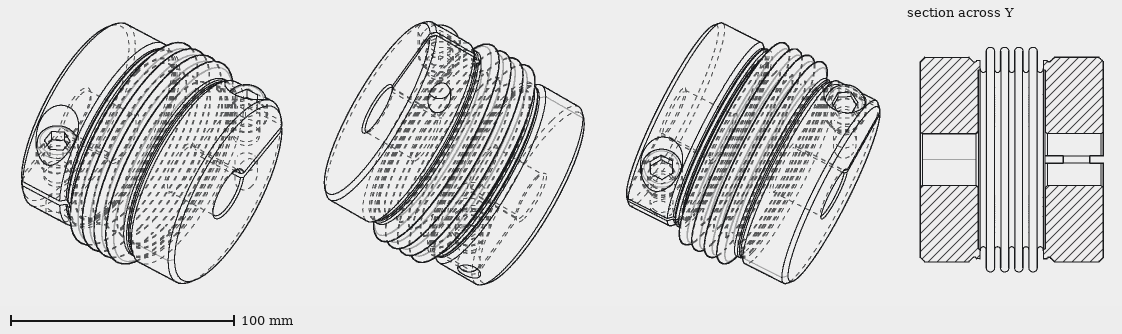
import cadquery as cq
import math


length = 82.1
bellows_diameter = 101.0

hub_diameter = 91.9
neck_diameter = 87.8
hub_chamfer = (hub_diameter - neck_diameter) / 2
hub_chamfer_end = 23.9
hub_length = 26.2
bore_diameter = 23.0
bore_chamfer = 1.0

collar_diameter = 89.0
collar_bore_diameter = 80.2
collar_chamfer = (collar_diameter - neck_diameter) / 2
collar_chamfer_start = 24.7

ring_count = 4
pitch = 6.4
crest_radius = 2.0
valley_radius = pitch / 2 - crest_radius
valley_diameter = 78.4
sheet = 0.3
rim_diameter = 81.4

slot_height = 3.2
screw_inset = 12.0
screw_offset = 32.8
shank_diameter = 12.0
clearance_diameter = 12.5
thread_diameter = 10.2
shank_length = 35.0
head_diameter = 18.0
head_height = 12.0
head_fillet = 1.2
head_top = 24.9
counterbore_diameter = 19.0
seat_z = head_top - head_height
hex_flats = 10.0
hex_depth = 6.0
hex_corners = hex_flats / math.cos(math.pi / 6)
drill_tip_angle = 120

end_x = -length / 2
hub_radius = hub_diameter / 2
first_valley_x = -ring_count * pitch / 2
collar_face_x = first_valley_x - valley_radius - sheet
screw_x = end_x + screw_inset


def cylinder_z(diameter, bottom, top):
    """Upright cylinder on the screw axis of the left hub."""
    base = cq.Workplane("XY", origin=(screw_x, -screw_offset, bottom))
    return base.circle(diameter / 2).extrude(top - bottom)


def hub_body():
    """Turned hub with its neck and hollow collar, at the -X end."""
    inner_x = end_x + hub_length
    neck_radius = neck_diameter / 2
    collar_radius = collar_diameter / 2
    neck_start = end_x + hub_chamfer_end
    collar_start = end_x + collar_chamfer_start
    bore_radius = bore_diameter / 2
    return (
        cq.Workplane("XY")
        .moveTo(end_x, bore_radius + bore_chamfer)
        .lineTo(end_x, hub_radius - hub_chamfer)
        .lineTo(end_x + hub_chamfer, hub_radius)
        .lineTo(neck_start - hub_chamfer, hub_radius)
        .lineTo(neck_start, neck_radius)
        .lineTo(collar_start, neck_radius)
        .lineTo(collar_start + collar_chamfer, collar_radius)
        .lineTo(collar_face_x, collar_radius)
        .lineTo(collar_face_x, collar_bore_diameter / 2)
        .lineTo(inner_x, collar_bore_diameter / 2)
        .lineTo(inner_x, bore_radius + bore_chamfer)
        .lineTo(inner_x - bore_chamfer, bore_radius)
        .lineTo(end_x + bore_chamfer, bore_radius)
        .close()
        .revolve(360, (0, 0, 0), (1, 0, 0))
    )


def screw(hex_angle):
    """Socket head screw with a hexagon socket that ends in a cone."""
    head = cylinder_z(head_diameter, seat_z, head_top).faces(">Z").edges().fillet(head_fillet)
    shank = cylinder_z(shank_diameter, seat_z - shank_length, seat_z)
    socket = (
        cq.Workplane("XY")
        .polygon(6, hex_corners)
        .extrude(-head_height)
        .rotate((0, 0, 0), (0, 0, 1), hex_angle)
    )
    corner_radius = hex_corners / 2
    tip_depth = hex_depth + corner_radius / math.tan(math.radians(drill_tip_angle / 2))
    drill = (
        cq.Workplane("XZ")
        .polyline([(0, 0), (corner_radius, 0), (corner_radius, -hex_depth), (0, -tip_depth)])
        .close()
        .revolve(360, (0, 0, 0), (0, 1, 0))
    )
    recess = socket.intersect(drill).translate((screw_x, -screw_offset, head_top))
    return head.union(shank).cut(recess)


def clamp_hub(hex_angle):
    """Hub slit along its whole length on its -Y side, with the screw that closes the slit."""
    slot = cq.Workplane("XY").box(hub_length, hub_radius, slot_height, centered=(False, False, True))
    hub = hub_body().cut(slot.translate((end_x, -hub_radius, 0)))
    hub = hub.cut(cylinder_z(counterbore_diameter, seat_z, hub_radius))
    hub = hub.cut(cylinder_z(clearance_diameter, 0, seat_z))
    hub = hub.cut(cylinder_z(thread_diameter, -hub_radius, 0))
    return hub.union(screw(hex_angle))


def bellows():
    """Corrugated tube of constant sheet thickness, with rings and valleys of half circles."""
    crest_centre_r = bellows_diameter / 2 - crest_radius
    valley_centre_r = valley_diameter / 2 + valley_radius
    rim_r = rim_diameter / 2

    def wave(path, valley_r, crest_r, step):
        """Draw the valleys and rings from one end to the other; step is the X direction."""
        for i in range(ring_count + 1):
            x = step * (first_valley_x + i * pitch)
            path = path.lineTo(x - step * valley_r, valley_centre_r)
            path = path.threePointArc((x, valley_centre_r - valley_r), (x + step * valley_r, valley_centre_r))
            if i < ring_count:
                x += step * pitch / 2
                path = path.lineTo(x - step * crest_r, crest_centre_r)
                path = path.threePointArc((x, crest_centre_r + crest_r), (x + step * crest_r, crest_centre_r))
        return path

    path = cq.Workplane("XY").moveTo(collar_face_x + sheet, rim_r)
    path = wave(path, valley_radius, crest_radius, 1)
    path = path.lineTo(-collar_face_x - sheet, rim_r)
    path = path.lineTo(-collar_face_x, rim_r)
    path = wave(path, valley_radius + sheet, crest_radius - sheet, -1)
    path = path.lineTo(collar_face_x, rim_r)
    return path.close().revolve(360, (0, 0, 0), (1, 0, 0))


left_hub = clamp_hub(hex_angle=30)
right_hub = clamp_hub(hex_angle=0).rotate((0, 0, 0), (0, 0, 1), 180)
result = left_hub.union(bellows()).union(right_hub)